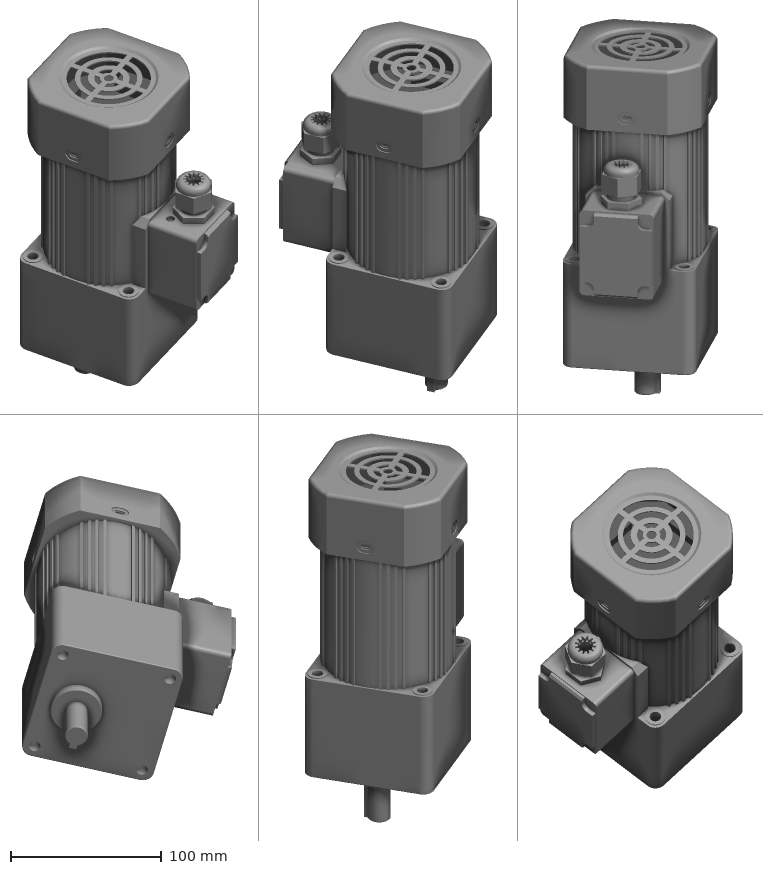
import cadquery as cq
import math

OVERALL_HEIGHT = 252.0
QUARTERS = [(1, 1), (-1, 1), (-1, -1), (1, -1)]

shaft_radius = 7.5
shaft_offset = -18.0
shaft_chamfer = 0.5
key_width = 5.0
key_length = 25.0
key_base = 4.8
key_crown = 9.8

gearbox_bottom = 37.0
gearbox_top = 102.5
gearbox_side = 90.0
gearbox_corner_radius = 7.5
gearbox_edge_chamfer = 0.5
boss_radius = 17.1
boss_height = 6.0
boss_bottom = gearbox_bottom - boss_height

flange_top = 110.5
pad_height = 0.8
pad_radius = 6.5
bolt_hole_radius = 3.8
bolt_offset = 36.8

frame_radius = gearbox_side / 2
rib_height = 1.3
rib_width = 2.0
rib_pitch = 6.7
ribs_per_bank = 4
bank_count = 8

cover_bottom = 207.0
cover_side = 93.0
cover_corner_radius = 54.0
cover_edge_fillet = 2.5
dish_rim_radius = 33.0
dish_floor_radius = 31.2
dish_depth = 1.3
roof_thickness = 1.0
wall_thickness = 3.8
cavity_floor = 215.5
screw_boss_top = 223.0
screw_boss_width = 25.2
screw_boss_depth = 13.9
ceiling_boss_radius = 35.3
vent_rings = [(5.8, 9.5), (13.9, 19.0), (22.5, 28.0)]
vent_spoke_width = 4.0
vent_hub_hole_radius = 3.3
screw_height = 216.7
screw_slot_spread = 3.0
screw_recess_width = 9.0
screw_recess_depth = 0.8
screw_socket_width = 4.0
screw_socket_depth = 1.5
screw_core_width = 2.0
screw_core_depth = 2.3

box_end = 82.0
box_width = 50.1
box_bottom = 103.0
box_top = 163.0
box_edge_fillet = 3.0
saddle_width = 57.0
saddle_top = 165.3
saddle_chamfer = 5.3
lid_end = 85.05
lid_margin = 0.88
lid_notch = 9.45
lid_notch_radius = 4.65
lid_edge_chamfer = 1.5
sight_hole_radius = 3.0
sight_hole_depth = 2.5
sight_hole_x = 55.2
sight_hole_y = -13.4

gland_x = 65.3
hex_flats = 24.0
base_hex_height = 5.0
neck_radius = 9.45
nut_bottom = 172.5
nut_top = 185.7
dome_radius = 11.72
dome_fillet = 4.0
gland_top = 191.5
bore_radius = 5.0
finger_slit_count = 12
finger_slit_width = 1.3
finger_slit_reach = 7.0
finger_slit_depth = 3.8


def block(x_min, x_max, width, z_min, z_max):
    """Box centred on Y = 0."""
    return cq.Workplane("XY").box(
        x_max - x_min, width, z_max - z_min, centered=(False, True, False)
    ).translate((x_min, 0, z_min))


def cylinder(radius, z_min, z_max, x=0, y=0):
    return cq.Workplane("XY", origin=(x, y, z_min)).circle(radius).extrude(z_max - z_min)


def rounded_square(z_min, z_max):
    side = block(-gearbox_side / 2, gearbox_side / 2, gearbox_side, z_min, z_max)
    return side.edges("|Z").fillet(gearbox_corner_radius)


def bolt_holes():
    points = [(sx * bolt_offset, sy * bolt_offset) for sx, sy in QUARTERS]
    plane = cq.Workplane("XY", origin=(0, 0, gearbox_bottom))
    return plane.pushPoints(points).circle(bolt_hole_radius).extrude(flange_top + pad_height - gearbox_bottom)


def make_shaft():
    shaft = cylinder(shaft_radius, 0, gearbox_bottom, shaft_offset).faces("<Z").chamfer(shaft_chamfer)
    key_plane = cq.Workplane("XZ", origin=(shaft_offset, key_crown, 0))
    half_width = key_width / 2
    key = (
        key_plane.moveTo(-half_width, 0)
        .lineTo(-half_width, key_length - half_width)
        .threePointArc((0, key_length), (half_width, key_length - half_width))
        .lineTo(half_width, 0)
        .close()
        .extrude(key_crown - key_base)
    )
    return shaft.union(key)


def make_gearbox():
    body = rounded_square(gearbox_bottom, gearbox_top).faces("<Z").chamfer(gearbox_edge_chamfer)
    boss = cylinder(boss_radius, boss_bottom, gearbox_bottom, shaft_offset).faces("<Z").chamfer(gearbox_edge_chamfer)
    shaft_hole = cylinder(shaft_radius, boss_bottom, gearbox_bottom, shaft_offset)
    return body.union(boss).cut(bolt_holes()).cut(shaft_hole)


def make_frame():
    """Round frame with banks of lengthwise cooling ribs."""
    frame = cylinder(frame_radius - rib_height, flange_top, cover_bottom)
    rib = block(frame_radius - 2 * rib_height, frame_radius + rib_height, rib_width, flange_top, cover_bottom)
    rib = rib.intersect(cylinder(frame_radius, flange_top, cover_bottom))
    for bank in range(bank_count):
        bank_angle = (bank + 0.5) * 360 / bank_count
        for index in range(ribs_per_bank):
            angle = bank_angle + (index - (ribs_per_bank - 1) / 2) * rib_pitch
            frame = frame.union(rib.rotate((0, 0, 0), (0, 0, 1), angle))
    return frame


def make_motor():
    flange = rounded_square(gearbox_top, flange_top)
    for sx, sy in QUARTERS:
        pad = cylinder(pad_radius, flange_top, flange_top + pad_height, sx * bolt_offset, sy * bolt_offset)
        flange = flange.union(pad)
    return flange.union(make_frame()).cut(bolt_holes())


def vents():
    plane = cq.Workplane("XY", origin=(0, 0, OVERALL_HEIGHT - dish_depth - roof_thickness))
    openings = plane.circle(vent_hub_hole_radius).extrude(roof_thickness)
    for inner, outer in vent_rings:
        ring = plane.circle(outer).circle(inner).extrude(roof_thickness)
        for length, width in [(2 * outer, vent_spoke_width), (vent_spoke_width, 2 * outer)]:
            ring = ring.cut(plane.rect(length, width).extrude(roof_thickness))
        openings = openings.union(ring)
    return openings


def octagon(inset, z_min, z_max):
    """Square with large round corners, inset from the outside of the cover."""
    half = cover_side / 2 - inset
    square = block(-half, half, 2 * half, z_min, z_max)
    return square.intersect(cylinder(cover_corner_radius - inset, z_min, z_max))


def cover_cavity():
    """Hollow of the cover: its ceiling drops below the dish and a boss stands behind each screw."""
    ceiling = OVERALL_HEIGHT - roof_thickness
    drop = cylinder(ceiling_boss_radius, ceiling - dish_depth, ceiling)
    cavity = octagon(wall_thickness, cavity_floor, ceiling).cut(drop)
    wall = cover_side / 2 - wall_thickness
    boss = block(wall - screw_boss_depth, wall, screw_boss_width, cavity_floor, screw_boss_top)
    for side in range(4):
        cavity = cavity.cut(boss.rotate((0, 0, 0), (0, 0, 1), 90 * side))
    return cavity


def screw_pocket(width, depth):
    """Obround pocket in the -Y face of the cover."""
    face = cq.Workplane("XZ", origin=(0, -cover_side / 2, screw_height))
    return face.slot2D(width + screw_slot_spread, width).extrude(-depth)


def make_cover():
    cover = octagon(0, cover_bottom, OVERALL_HEIGHT)
    cover = cover.faces(">Z").edges().fillet(cover_edge_fillet)
    dish = (
        cq.Workplane("XY", origin=(0, 0, OVERALL_HEIGHT - dish_depth))
        .circle(dish_floor_radius)
        .workplane(offset=dish_depth)
        .circle(dish_rim_radius)
        .loft()
    )
    cover = cover.cut(dish).cut(cover_cavity()).cut(vents())
    screw = screw_pocket(screw_recess_width, screw_recess_depth)
    screw = screw.union(screw_pocket(screw_socket_width, screw_socket_depth))
    screw = screw.union(screw_pocket(screw_core_width, screw_core_depth))
    for side in range(4):
        cover = cover.cut(screw.rotate((0, 0, 0), (0, 0, 1), 90 * side))
    return cover


def make_lid():
    height = box_top - box_bottom - 2 * lid_margin
    width = box_width - 2 * lid_margin
    middle = (box_top + box_bottom) / 2
    lid = block(box_end, lid_end, width, middle - height / 2, middle + height / 2)
    lid = lid.faces(">X").edges("|Y").chamfer(lid_edge_chamfer)
    notch_plane = cq.Workplane("YZ", origin=(box_end, 0, middle))
    notch_centres = [(sy * width / 2, sz * height / 2) for sy, sz in QUARTERS]
    notches = (
        notch_plane.pushPoints(notch_centres)
        .rect(2 * lid_notch, 2 * lid_notch)
        .extrude(lid_end - box_end)
        .edges("|X")
        .fillet(lid_notch_radius)
    )
    return lid.cut(notches)


def make_terminal_box():
    box = block(frame_radius, box_end, box_width, box_bottom, box_top).edges("|X").fillet(box_edge_fillet)
    saddle = block(0, frame_radius, saddle_width, flange_top, saddle_top)
    saddle = saddle.edges("|X and >Z").chamfer(saddle_chamfer)
    saddle = saddle.cut(cylinder(frame_radius, flange_top, saddle_top))
    sight_hole = cylinder(sight_hole_radius, box_top - sight_hole_depth, box_top, sight_hole_x, sight_hole_y)
    return box.union(saddle).cut(sight_hole).union(make_lid())


def hexagon(z_min, z_max, turn):
    diameter = hex_flats / math.cos(math.pi / 6)
    prism = cq.Workplane("XY").polygon(6, diameter).extrude(z_max - z_min)
    return prism.rotate((0, 0, 0), (0, 0, 1), turn).translate((gland_x, 0, z_min))


def make_gland():
    gland = hexagon(box_top, box_top + base_hex_height, 30)
    gland = gland.union(cylinder(neck_radius, box_top + base_hex_height, nut_bottom, gland_x))
    gland = gland.union(hexagon(nut_bottom, nut_top, 0))
    dome = cylinder(dome_radius, nut_top, gland_top, gland_x).faces(">Z").edges().fillet(dome_fillet)
    bore = cylinder(bore_radius, box_top, gland_top, gland_x)
    gland = gland.union(dome).cut(bore)
    slit = block(0, finger_slit_reach, finger_slit_width, gland_top - finger_slit_depth, gland_top)
    for index in range(finger_slit_count):
        turned_slit = slit.rotate((0, 0, 0), (0, 0, 1), index * 360 / finger_slit_count)
        gland = gland.cut(turned_slit.translate((gland_x, 0, 0)))
    return gland


result = cq.Compound.makeCompound([
    make_shaft().val(),
    make_gearbox().val(),
    make_motor().val(),
    make_cover().val(),
    make_terminal_box().val(),
    make_gland().val(),
])